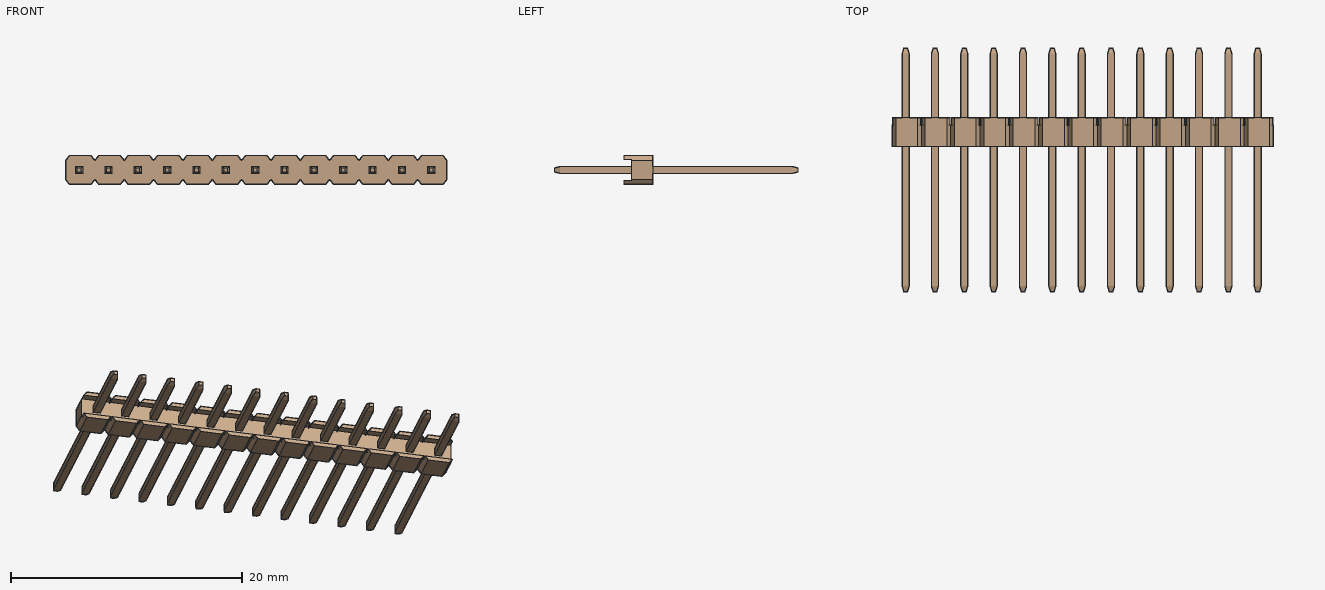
import cadquery as cq

pin_count = 13
body_length = 33.02
body_size = 2.5
chamfer_width = 0.33
chamfer_height = 0.43
channel_depth = 0.65
channel_height = 1.78
pin_width = 0.63
pin_tip_width = 0.33
pin_taper = 0.5
pin_front_length = 12.58
pin_rear_length = 6.0
pin_offset = -0.092

pitch = body_length / pin_count
body_front = -body_size / 2
body_rear = body_size / 2
pin_front = body_front - pin_front_length
pin_rear = body_rear + pin_rear_length
cell_centres = [(i - (pin_count - 1) / 2) * pitch for i in range(pin_count)]


def make_cell(x_centre):
    """One octagonal cell of the housing, extruded along Y."""
    half_width = pitch / 2
    half_height = body_size / 2
    flat_x = half_width - chamfer_width
    flat_z = half_height - chamfer_height
    outline = [
        (-flat_x, -half_height),
        (flat_x, -half_height),
        (half_width, -flat_z),
        (half_width, flat_z),
        (flat_x, half_height),
        (-flat_x, half_height),
        (-half_width, flat_z),
        (-half_width, -flat_z),
    ]
    cell = cq.Workplane("XZ").polyline(outline).close().extrude(body_size)
    return cell.translate((x_centre, body_rear, 0))


def make_channel():
    """Channel along the whole rear face of the housing, open at both ends."""
    channel = cq.Workplane("XY").box(body_length, channel_depth, channel_height)
    return channel.translate((0, body_rear - channel_depth / 2, 0))


def make_tip(y_base, direction):
    """Pyramid stub that tapers away from y_base, towards +Y or -Y."""
    return (
        cq.Workplane("XZ", origin=(0, y_base, 0))
        .rect(pin_width, pin_width)
        .workplane(offset=-direction * pin_taper)
        .rect(pin_tip_width, pin_tip_width)
        .loft(ruled=True)
    )


def make_pin():
    """Square pin along Y with both ends tapered."""
    shank_front = pin_front + pin_taper
    shank_rear = pin_rear - pin_taper
    shank = (
        cq.Workplane("XZ", origin=(0, shank_rear, 0))
        .rect(pin_width, pin_width)
        .extrude(shank_rear - shank_front)
    )
    return shank.union(make_tip(shank_front, -1)).union(make_tip(shank_rear, 1))


housing = make_cell(cell_centres[0])
for x in cell_centres[1:]:
    housing = housing.union(make_cell(x))
housing = housing.clean().cut(make_channel())

pin = make_pin()
result = housing
for x in cell_centres:
    result = result.union(pin.translate((x + pin_offset, 0, 0)))